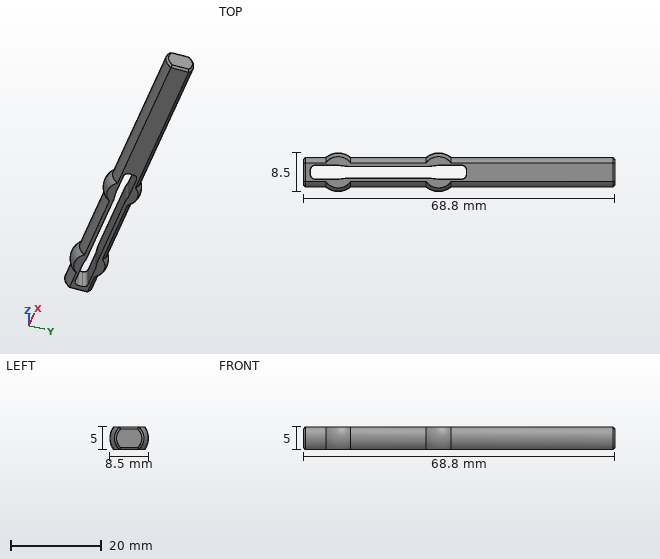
import cadquery as cq

length = 68.75
thickness = 5.0
bar_diameter = 6.5
end_chamfer = 0.5

lobe_diameter = 8.5
lobe_spacing = 22.15

slot_start = 1.6
slot_length = 34.4
slot_end_width = 3.0
slot_middle_width = 2.55
slot_corner_radius = 1.0
slot_taper_length = 2.0

slot_center = slot_start + slot_length / 2


def make_bar():
    """Flatted round bar with every edge of both end faces chamfered."""
    bar = cq.Workplane("YZ").circle(bar_diameter / 2).extrude(length)
    flats = cq.Workplane("XY").box(length, bar_diameter, thickness).translate((length / 2, 0, 0))
    return bar.intersect(flats).faces("<X or >X").chamfer(end_chamfer)


def make_lobe(x):
    """Sphere with its poles on the bar axis, trimmed level with the flats."""
    sphere = cq.Workplane("XY").sphere(lobe_diameter / 2).rotate((0, 0, 0), (0, 1, 0), 90)
    flats = cq.Workplane("XY").box(lobe_diameter, lobe_diameter, thickness)
    return sphere.intersect(flats).translate((x, 0, 0))


def make_slot():
    """Slot cutter with rounded corners and tapers between its two widths."""
    end_x = slot_length / 2
    end_y = slot_end_width / 2
    middle_y = slot_middle_width / 2
    taper_x = lobe_spacing / 2
    middle_x = taper_x - slot_taper_length
    upper_side = [(-end_x, end_y), (-taper_x, end_y), (-middle_x, middle_y),
                  (middle_x, middle_y), (taper_x, end_y), (end_x, end_y)]
    lower_side = [(x, -y) for x, y in reversed(upper_side)]
    outline = cq.Workplane("XY").polyline(upper_side + lower_side).close()
    slot = outline.extrude(thickness / 2, both=True)
    slot = slot.edges("|Z and (<X or >X)").fillet(slot_corner_radius)
    return slot.translate((slot_center, 0, 0))


result = make_bar()
for side in (-1, 1):
    result = result.union(make_lobe(slot_center + side * lobe_spacing / 2))
result = result.cut(make_slot())